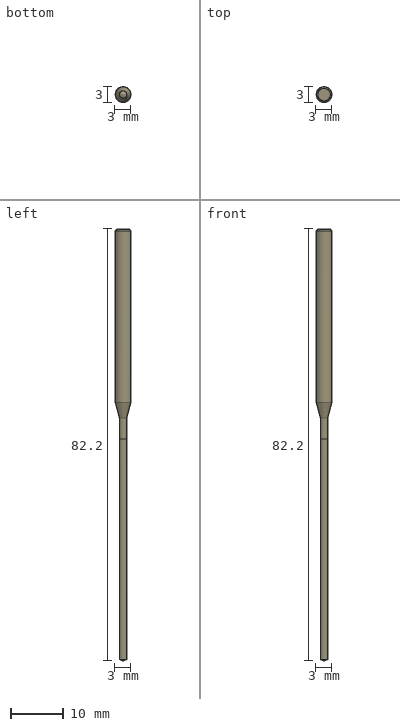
import cadquery as cq
import math

overall_length = 82.25
shank_length = 33.0
taper_length = 3.0
neck_length = 4.0

shank_diameter = 3.0
drill_diameter = 1.4
point_angle = 140.0
end_chamfer = 0.3

shank_radius = shank_diameter / 2
drill_radius = drill_diameter / 2
point_height = drill_radius / math.tan(math.radians(point_angle / 2))
shank_bottom = overall_length - shank_length
taper_bottom = shank_bottom - taper_length
neck_bottom = taper_bottom - neck_length


def revolved_body(profile):
    """Revolve a closed (radius, height) profile about the Z axis."""
    return cq.Workplane("XZ").polyline(profile).close().revolve(360, (0, 0), (0, 1))


def make_shank():
    """Chamfered cylindrical shank with a conical taper and a slim neck below it."""
    return revolved_body([
        (0, neck_bottom),
        (drill_radius, neck_bottom),
        (drill_radius, taper_bottom),
        (shank_radius, shank_bottom),
        (shank_radius, overall_length - end_chamfer),
        (shank_radius - end_chamfer, overall_length),
        (0, overall_length),
    ])


def make_drill():
    """Slender cylindrical cutting part with a conical point, butted against the neck."""
    return revolved_body([
        (0, 0),
        (drill_radius, point_height),
        (drill_radius, neck_bottom),
        (0, neck_bottom),
    ])


shank = make_shank()
drill = make_drill()

result = cq.Compound.makeCompound([shank.val(), drill.val()])